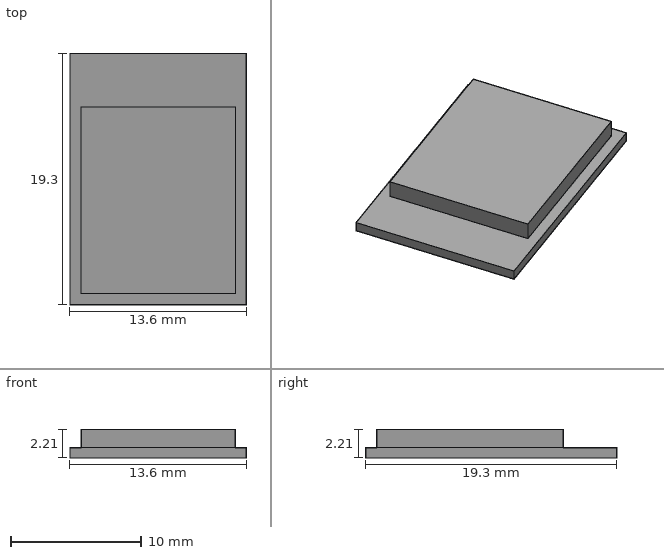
import cadquery as cq

board_width = 13.56
board_length = 19.3
board_thickness = 0.8

overall_height = 2.21
shield_height = overall_height - board_thickness
shield_margin = 0.86
antenna_length = 4.1
shield_width = board_width - 2 * shield_margin
shield_length = board_length - shield_margin - antenna_length
shield_center_y = (shield_margin - antenna_length) / 2


def make_board():
    """Flat board centred on the origin, with its underside at Z = 0."""
    return cq.Workplane("XY").box(
        board_width, board_length, board_thickness, centered=(True, True, False)
    )


def add_shield(board):
    """Rectangular shield can, set towards the front (-Y) edge of the board."""
    return (
        board
        .faces(">Z")
        .workplane(origin=(0, 0, board_thickness))
        .center(0, shield_center_y)
        .rect(shield_width, shield_length)
        .extrude(shield_height)
    )


result = add_shield(make_board())